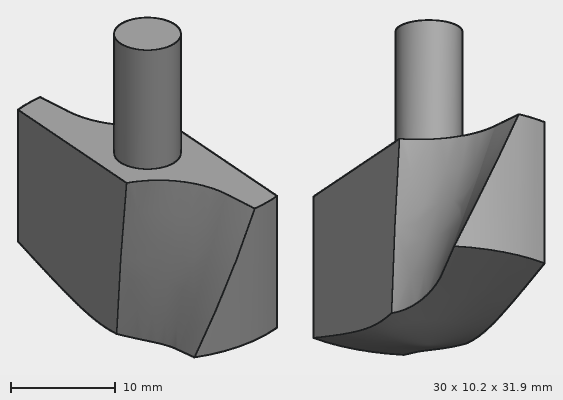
import cadquery as cq
import math

head_diameter = 30.0
head_radius = head_diameter / 2
thickness = 10.18
total_height = 31.9
shoulder_height = 18.9
tip_height = 4.47
shank_diameter = 6.4

flute_lead = 25.7
lip_start_x = 11.05
lip_start_y = 1.37
lip_angle = math.radians(7.9)
gullet_radius = 8.95
flute_reach = 22.33

side_height = shoulder_height - tip_height
flute_twist = flute_lead * shoulder_height / side_height


def make_head():
    """Cylinder with a conical point, flattened to a slab."""
    profile = [
        (0, 0),
        (head_radius, tip_height),
        (head_radius, shoulder_height),
        (0, shoulder_height),
    ]
    turned = cq.Workplane("XZ").polyline(profile).close().revolve(360, (0, 0), (0, 1))
    slab = cq.Workplane("XY").box(
        head_diameter, thickness, shoulder_height, centered=(True, True, False)
    )
    return turned.intersect(slab)


def make_flute():
    """Twisted cutter whose top section lies at the shoulder."""
    center_x = lip_start_x + gullet_radius * math.sin(lip_angle)
    center_y = lip_start_y - gullet_radius * math.cos(lip_angle)
    gullet_end = (center_x - gullet_radius, center_y)
    middle_angle = (math.pi + math.pi / 2 + lip_angle) / 2
    gullet_middle = (
        center_x + gullet_radius * math.cos(middle_angle),
        center_y + gullet_radius * math.sin(middle_angle),
    )
    lip_end_y = lip_start_y + (flute_reach - lip_start_x) * math.tan(lip_angle)
    section = (
        cq.Workplane("XY")
        .moveTo(flute_reach, lip_end_y)
        .lineTo(lip_start_x, lip_start_y)
        .threePointArc(gullet_middle, gullet_end)
        .lineTo(gullet_end[0], -flute_reach)
        .lineTo(flute_reach, -flute_reach)
        .close()
    )
    cutter = section.twistExtrude(shoulder_height, flute_twist)
    return cutter.rotate((0, 0, 0), (0, 0, 1), -flute_twist)


def make_shank():
    """Round shank from the shoulder to the top."""
    return (
        cq.Workplane("XY")
        .workplane(offset=shoulder_height)
        .circle(shank_diameter / 2)
        .extrude(total_height - shoulder_height)
    )


flute = make_flute()
head = make_head()
for turn in (0, 180):
    head = head.cut(flute.rotate((0, 0, 0), (0, 0, 1), turn))

result = head.union(make_shank())